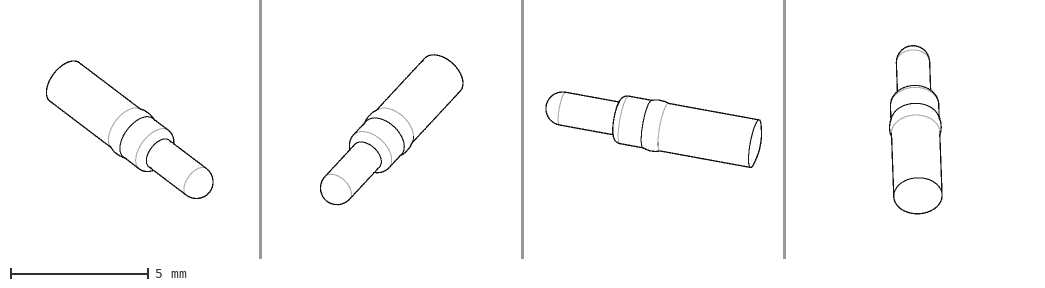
import cadquery as cq

total_length = 8.03
barrel_radius = 0.88
barrel_end = 5.36
end_dome_height = 0.17
ring_start = 3.58
ring_end = 4.215
ring_radius = 0.95
plunger_radius = 0.61

shoulder_fillet = barrel_radius - plunger_radius
fillet_start = barrel_end - shoulder_fillet
ring_middle = (ring_start + ring_end) / 2
tip_start = total_length - plunger_radius
diagonal = 0.5 ** 0.5

dome_sphere_radius = (barrel_radius**2 + end_dome_height**2) / (2 * end_dome_height)
dome_mid_radius = barrel_radius / 2
dome_mid_x = dome_sphere_radius - (dome_sphere_radius**2 - dome_mid_radius**2) ** 0.5

fillet_mid = (
    fillet_start + shoulder_fillet * diagonal,
    plunger_radius + shoulder_fillet * diagonal,
)
tip_mid = (tip_start + plunger_radius * diagonal, plunger_radius * diagonal)

half_section = (
    cq.Workplane("XY")
    .moveTo(0, 0)
    .threePointArc((dome_mid_x, dome_mid_radius), (end_dome_height, barrel_radius))
    .lineTo(ring_start, barrel_radius)
    .threePointArc((ring_middle, ring_radius), (ring_end, barrel_radius))
    .lineTo(fillet_start, barrel_radius)
    .threePointArc(fillet_mid, (barrel_end, plunger_radius))
    .lineTo(tip_start, plunger_radius)
    .threePointArc(tip_mid, (total_length, 0))
    .close()
)

result = half_section.revolve(360, (0, 0, 0), (1, 0, 0))